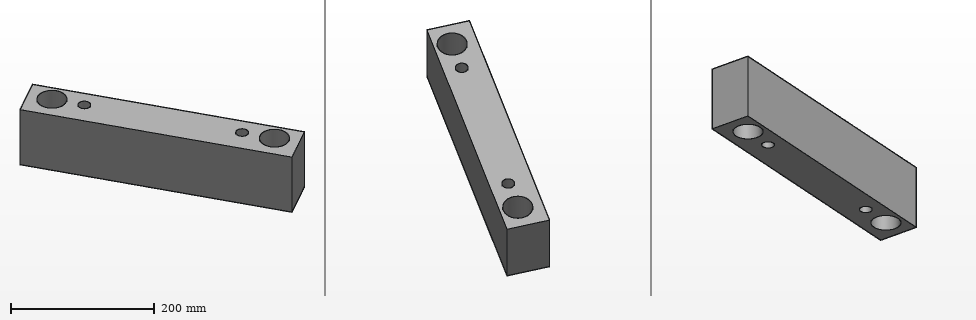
import cadquery as cq

length = 396.0
width = 62.0
height = 96.0

large_diameter = 42.0
large_spacing = 324.0
small_diameter = 18.0
small_spacing = 229.5
hole_line_y = 4.8


def drill_pair(body, diameter, spacing):
    """Cut two through holes placed symmetrically about the middle of the block."""
    centres = [(side * spacing / 2, hole_line_y) for side in (-1, 1)]
    return body.faces(">Z").workplane(origin=(0, 0, 0)).pushPoints(centres).hole(diameter)


block = cq.Workplane("XY").box(length, width, height)
block = drill_pair(block, large_diameter, large_spacing)
result = drill_pair(block, small_diameter, small_spacing)